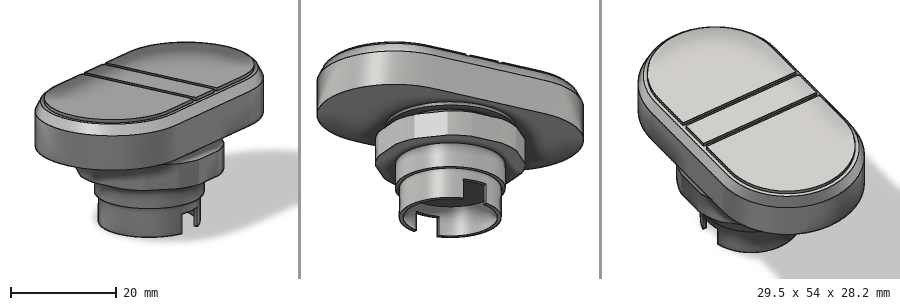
import cadquery as cq
import math

head_length = 54.0
head_width = 29.5
head_height = 8.9
rim_bevel_height = 2.0
rim_bevel_inset = 1.0

face_inset = 1.8
face_height = 0.65
center_bar_width = 6.05
face_gap = 0.95

barrel_radius = 10.5
barrel_length = 12.6
tail_radius = 9.7
tail_length = 6.05
tail_wall = 0.75
notch_width = 5.0
notch_height = 3.95

washer_radius = 12.5
washer_thickness = 0.7

nut_sides = 8
nut_across_flats = 27.75
nut_corner_radius = 14.25
nut_height = 5.0
nut_top_z = -2.65

tail_bottom_z = -(barrel_length + tail_length)


def stadium(inset, base_z, height):
    """Upright stadium block, inset from the outer edge of the head."""
    return (
        cq.Workplane("XY", origin=(0, 0, base_z))
        .slot2D(head_length - 2 * inset, head_width - 2 * inset, 90)
        .extrude(height)
    )


def make_bezel():
    bezel = stadium(0, 0, head_height)
    return bezel.faces(">Z").chamfer(rim_bevel_height, rim_bevel_inset)


def make_button_faces():
    """Two round-ended buttons and a center bar, parted by two straight gaps."""
    faces = stadium(face_inset, head_height, face_height)
    gap_y = (center_bar_width + face_gap) / 2
    gaps = (
        cq.Workplane("XY", origin=(0, 0, head_height))
        .pushPoints([(0, -gap_y), (0, gap_y)])
        .rect(head_width, face_gap)
        .extrude(face_height)
    )
    return faces.cut(gaps)


def make_barrel():
    """Round barrel ending in a thin-walled tail notched on both X sides."""
    barrel = cq.Workplane("XY").circle(barrel_radius).extrude(-barrel_length)
    tail = (
        cq.Workplane("XY", origin=(0, 0, tail_bottom_z))
        .circle(tail_radius)
        .circle(tail_radius - tail_wall)
        .extrude(tail_length)
    )
    notch = (
        cq.Workplane("XY", origin=(0, 0, tail_bottom_z))
        .rect(2 * barrel_radius, notch_width)
        .extrude(notch_height)
    )
    return barrel.union(tail.cut(notch))


def make_operator():
    """Head, button faces and barrel as a single body."""
    return make_bezel().union(make_button_faces()).union(make_barrel())


def make_washer():
    return (
        cq.Workplane("XY")
        .circle(washer_radius)
        .circle(barrel_radius)
        .extrude(-washer_thickness)
    )


def make_nut():
    """Octagon with flats square to X and Y, its corners turned to a circle."""
    half_side_angle = math.pi / nut_sides
    across_corners = nut_across_flats / math.cos(half_side_angle)
    octagon = (
        cq.Workplane("XY", origin=(0, 0, nut_top_z))
        .transformed(rotate=(0, 0, math.degrees(half_side_angle)))
        .polygon(nut_sides, across_corners)
        .extrude(-nut_height)
    )
    turned_blank = (
        cq.Workplane("XY", origin=(0, 0, nut_top_z))
        .circle(nut_corner_radius)
        .circle(barrel_radius)
        .extrude(-nut_height)
    )
    return octagon.intersect(turned_blank)


operator = make_operator()
washer = make_washer()
nut = make_nut()

result = cq.Compound.makeCompound([operator.val(), washer.val(), nut.val()])